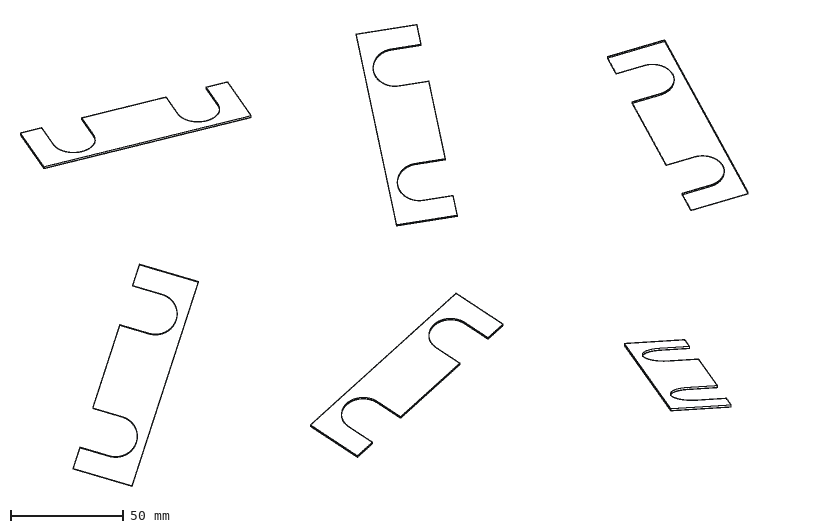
import cadquery as cq

plate_width = 27.5
plate_length = 100
plate_thickness = 1

slot_width = 19.3
slot_spacing = 60
slot_depth = 23.3

slot_radius = slot_width / 2
open_edge_x = -plate_width / 2
arc_center_x = open_edge_x + slot_depth - slot_radius


def open_slot(center_y):
    """Cutter for one slot: straight sides ending in a half circle."""
    return (
        cq.Workplane("XY")
        .moveTo(open_edge_x, center_y - slot_radius)
        .lineTo(arc_center_x, center_y - slot_radius)
        .threePointArc(
            (arc_center_x + slot_radius, center_y),
            (arc_center_x, center_y + slot_radius),
        )
        .lineTo(open_edge_x, center_y + slot_radius)
        .close()
        .extrude(plate_thickness)
    )


result = cq.Workplane("XY").box(
    plate_width, plate_length, plate_thickness, centered=(True, True, False)
)
for side in (-1, 1):
    result = result.cut(open_slot(side * slot_spacing / 2))